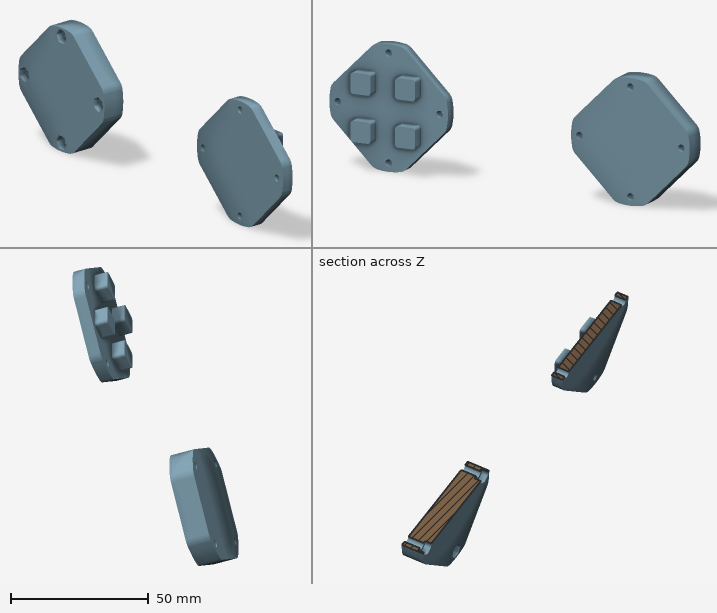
import cadquery as cq
import math

PLATE_DIAMETER = 47.9
SQUARE_SIDE = 41.4
EDGE_ROUNDING = 4.6
PLATE_SPACING = 100.0

HOUSING_THICKNESS = 9.0
COVER_THICKNESS = 4.6
BLOCK_HEIGHT = 4.9
BACK_Y = COVER_THICKNESS + BLOCK_HEIGHT

SCREW_COUNT = 4
SCREW_CIRCLE_RADIUS = 20.5
SCREW_DIAMETER = 2.7
NUT_ACROSS_FLATS = 5.0
NUT_SIDES = 6
NUT_ACROSS_CORNERS = NUT_ACROSS_FLATS / math.cos(math.pi / NUT_SIDES)
NUT_POCKET_DEPTH = 2.5
NUT_CORNER_ROUNDING = 1.0

BLOCK_SIDE = 8.0
BLOCK_ROUNDING = 1.0
BLOCK_SPACING = 18.0
BLOCKS_PER_ROW = 2


def front_plane(center_x, front_y):
    """Sketch plane facing -Y, with its X along X and its Y along Z."""
    return cq.Workplane("XZ", origin=(center_x, front_y, 0))


def plate(center_x, front_y, thickness):
    """Rounded diamond plate that extends from its front face toward +Y."""
    plane = front_plane(center_x, front_y)
    disc = plane.circle(PLATE_DIAMETER / 2).extrude(-thickness)
    diamond = plane.transformed(rotate=(0, 0, 45)).rect(SQUARE_SIDE, SQUARE_SIDE).extrude(-thickness)
    return disc.intersect(diamond).edges("|Y").fillet(EDGE_ROUNDING)


def screw_holes(center_x, front_y, thickness):
    """Through holes, evenly spaced on the screw circle."""
    return (
        front_plane(center_x, front_y)
        .polarArray(SCREW_CIRCLE_RADIUS, 0, 360, SCREW_COUNT)
        .circle(SCREW_DIAMETER / 2)
        .extrude(-thickness)
    )


def nut_pockets(center_x, front_y):
    """Hexagonal pockets with rounded corners, each with a flat side facing the plate's centre."""
    pockets = cq.Workplane()
    for index in range(SCREW_COUNT):
        pocket = (
            front_plane(center_x, front_y)
            .transformed(rotate=(0, 0, index * 360 / SCREW_COUNT))
            .center(SCREW_CIRCLE_RADIUS, 0)
            .transformed(rotate=(0, 0, 90))
            .polygon(NUT_SIDES, NUT_ACROSS_CORNERS)
            .extrude(-NUT_POCKET_DEPTH)
            .edges("|Y")
            .fillet(NUT_CORNER_ROUNDING)
        )
        pockets = pockets.add(pocket)
    return pockets.combine()


def locating_blocks(center_x, front_y):
    """Square grid of blocks with rounded corners."""
    return (
        front_plane(center_x, front_y)
        .rarray(BLOCK_SPACING, BLOCK_SPACING, BLOCKS_PER_ROW, BLOCKS_PER_ROW)
        .rect(BLOCK_SIDE, BLOCK_SIDE)
        .extrude(-BLOCK_HEIGHT)
        .edges("|Y")
        .fillet(BLOCK_ROUNDING)
    )


def make_housing(center_x):
    front_y = BACK_Y - HOUSING_THICKNESS
    body = plate(center_x, front_y, HOUSING_THICKNESS)
    body = body.cut(screw_holes(center_x, front_y, HOUSING_THICKNESS))
    return body.cut(nut_pockets(center_x, front_y))


def make_cover(center_x):
    body = plate(center_x, 0, COVER_THICKNESS)
    body = body.cut(screw_holes(center_x, 0, COVER_THICKNESS))
    return body.union(locating_blocks(center_x, COVER_THICKNESS))


housing = make_housing(-PLATE_SPACING / 2)
cover = make_cover(PLATE_SPACING / 2)

result = cq.Compound.makeCompound([housing.val(), cover.val()])